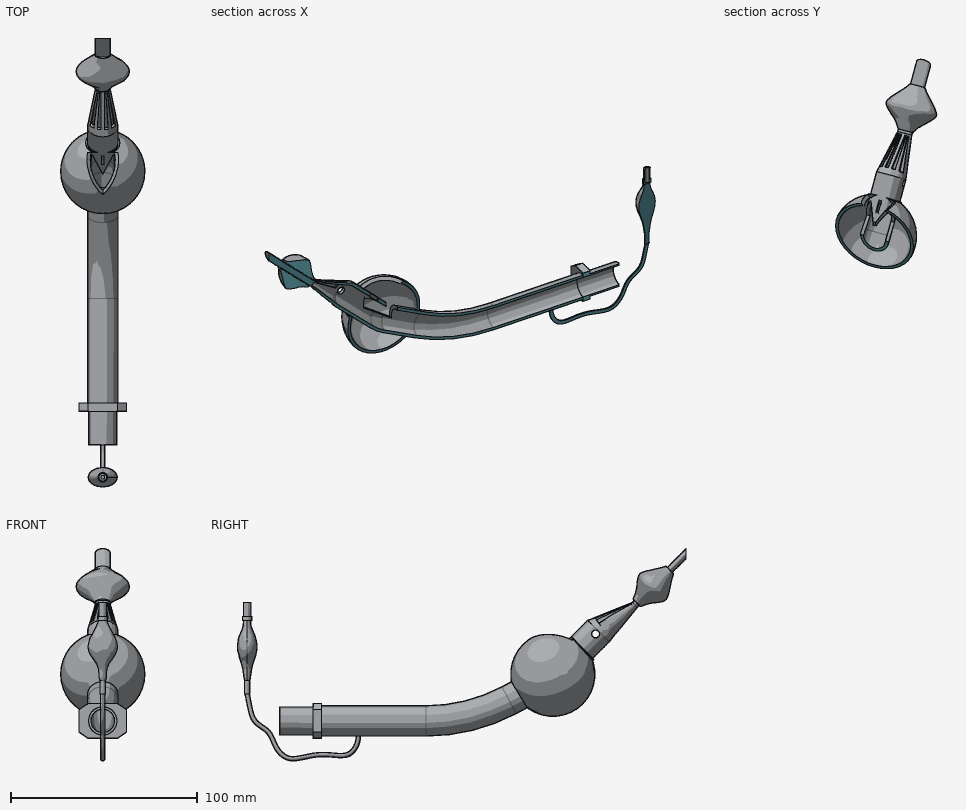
import cadquery as cq
import math


CONNECTOR_DIAMETER = 15.2
CONNECTOR_BORE = 12.5
FLANGE_FRONT = 18.0
FLANGE_BACK = 22.5
FLANGE_WIDTH = 25.5
FLANGE_HEIGHT = 18.8
FLANGE_CORNER_X = 4.8
FLANGE_CORNER_Z = 3.4

TUBE_DIAMETER = 16.4
TUBE_BORE = CONNECTOR_BORE
BEND_START = 78.5
BEND_RADIUS = 95.0
BEND_ANGLE = 28
DISTAL_ANGLE = 45
CUFF_BEND_RADIUS = 24.0
KINK_Y = 146.3
SIDE_HOLE_DIAMETER = 4.0
SIDE_HOLE_DISTANCE = 32.7

TAPER_START = 35.0
TAPER_END = 58.7
TIP_WIDTH = 8.2
TIP_THICKNESS = 3.9
TIP_DROP = 3.9
TIP_WALL = 1.0
TIP_END_Y = 218.0

WINDOWS_PER_SIDE = 2
WINDOW_START_GAP = 2.6
WINDOW_END_GAP = 1.0
MIDDLE_RIB = 2.0
START_WINDOW_WIDTH = 2.0
START_SIDE_RIB = 2.0
END_WINDOW_WIDTH = 0.7
END_SIDE_RIB = 0.7

CUFF_RADIUS = 22.5
CUFF_WALL = 2.0
CUFF_Y = 146.5
CUFF_Z = 25.0
NECK_DIAMETER = 18.3
NECK_END = 22.4

NOTCH_APEX_Y = 134.8
NOTCH_APEX_Z = 43.8
NOTCH_END_Y = 157.0
NOTCH_SLOPE = 18
NOTCH_HALF_ANGLE = 50

ROOF_START_Y = 138.1
ROOF_END_Y = 155.5
TONGUE_POINT_Y = 145.0
TONGUE_WIDTH = 11.0
TONGUE_SLOT_WIDTH = 1.5
TONGUE_SLOT_START_Y = 150.5
TONGUE_SLOT_END_Y = 155.0

DISTAL_CUFF_OUTLINE = [
    (60.2, 4.2),
    (63.0, 6.0),
    (68.3, 11.5),
    (72.5, 14.32),
    (75.8, 12.5),
    (79.2, 9.5),
    (82.8, 6.0),
    (85.2, 4.2),
]
DISTAL_CUFF_FLATNESS = 0.69

LINE_DIAMETER = 2.5
LINE_POINTS = [
    (42.0, -7.2),
    (41.1, -13.2),
    (37.5, -17.5),
    (28.5, -18.3),
    (19.3, -18.3),
    (10.3, -20.0),
    (4.8, -20.0),
    (-1.5, -14.7),
    (-6.0, -6.0),
    (-13.2, 0.0),
    (-15.6, 6.3),
    (-17.3, 14.5),
]
BALLOON_Y = LINE_POINTS[-1][0]
BALLOON_BOTTOM = LINE_POINTS[-1][1]
STEM_DIAMETER = 3.0
STEM_TOP = 21.7
BALLOON_TOP = 54.0
BALLOON_SECTIONS = [
    (1.5, 1.5),
    (2.2, 2.29),
    (4.5, 3.73),
    (7.58, 5.17),
    (7.2, 4.93),
    (4.5, 3.0),
    (2.05, 2.05),
]

VALVE_DIAMETER = 4.0
VALVE_RING_DIAMETER = 5.0
VALVE_BORE = 2.0
VALVE_BOTTOM = BALLOON_TOP
VALVE_RING_TOP = 56.0
VALVE_TOP = 63.5


def unit(angle):
    """Direction in the YZ plane, rising from +Y by an angle in degrees."""
    return math.cos(math.radians(angle)), math.sin(math.radians(angle))


BEND_END = (
    BEND_START + BEND_RADIUS * unit(BEND_ANGLE)[1],
    BEND_RADIUS * (1 - unit(BEND_ANGLE)[0]),
)
KINK_Z = BEND_END[1] + (KINK_Y - BEND_END[0]) * math.tan(math.radians(BEND_ANGLE))


def from_kink(distance, angle, rise=0):
    """Point in the YZ plane at a distance from the kink, raised square to that direction."""
    y, z = unit(angle)
    return KINK_Y + distance * y - rise * z, KINK_Z + distance * z + rise * y


def plane_along(point, angle):
    """Plane square to a direction in the YZ plane; its local y points up from that direction."""
    y, z = unit(angle)
    return cq.Plane(origin=(0, *point), xDir=(-1, 0, 0), normal=(0, y, z))


def distal_plane(distance, rise=0):
    return plane_along(from_kink(distance, DISTAL_ANGLE, rise), DISTAL_ANGLE)


def evenly_spaced(start, end, count):
    return [start + (end - start) * index / (count - 1) for index in range(count)]


def elliptical_loft(planes, half_sizes):
    """Smooth solid through one ellipse on each plane."""
    wires = [
        cq.Wire.makeEllipse(half_x, half_y, plane.origin, plane.zDir, plane.xDir)
        for plane, (half_x, half_y) in zip(planes, half_sizes)
    ]
    return cq.Workplane(obj=cq.Solid.makeLoft(wires))


def make_connector():
    barrel = cq.Workplane("XZ").circle(CONNECTOR_DIAMETER / 2).extrude(-FLANGE_BACK)
    half_width = FLANGE_WIDTH / 2
    half_height = FLANGE_HEIGHT / 2
    corner = [
        (half_width, half_height - FLANGE_CORNER_Z),
        (half_width - FLANGE_CORNER_X, half_height),
    ]
    upper = corner + [(-x, z) for x, z in reversed(corner)]
    lower = [(-x, -z) for x, z in upper]
    flange = (
        cq.Workplane("XZ", origin=(0, FLANGE_FRONT, 0))
        .polyline(upper + lower)
        .close()
        .extrude(FLANGE_FRONT - FLANGE_BACK)
    )
    bore = cq.Workplane("XZ").circle(CONNECTOR_BORE / 2).extrude(-FLANGE_BACK)
    return barrel.union(flange).cut(bore)


def tube_path():
    """Tube axis from the flange to the start of the taper."""
    tangent = CUFF_BEND_RADIUS * math.tan(math.radians((DISTAL_ANGLE - BEND_ANGLE) / 2))
    mid_bend = unit(BEND_ANGLE / 2)
    bend_middle = (BEND_START + BEND_RADIUS * mid_bend[1], BEND_RADIUS * (1 - mid_bend[0]))
    second_start = from_kink(-tangent, BEND_ANGLE)
    second_end = from_kink(tangent, DISTAL_ANGLE)
    start_y, start_z = unit(BEND_ANGLE)
    middle_y, middle_z = unit((BEND_ANGLE + DISTAL_ANGLE) / 2)
    second_middle = (
        second_start[0] + CUFF_BEND_RADIUS * (middle_z - start_z),
        second_start[1] + CUFF_BEND_RADIUS * (start_y - middle_y),
    )
    return (
        cq.Workplane("YZ")
        .moveTo(FLANGE_BACK, 0)
        .lineTo(BEND_START, 0)
        .threePointArc(bend_middle, BEND_END)
        .lineTo(*second_start)
        .threePointArc(second_middle, second_end)
        .lineTo(*from_kink(TAPER_START, DISTAL_ANGLE))
    )


def tube_sweep(diameter):
    section = cq.Workplane("XZ", origin=(0, FLANGE_BACK, 0)).circle(diameter / 2)
    return section.sweep(tube_path())


def taper(start_diameter, end_width, end_thickness):
    """Loft from the round distal shaft to the elliptical tip."""
    start = cq.Sketch().circle(start_diameter / 2)
    end = cq.Sketch().ellipse(end_width / 2, end_thickness / 2)
    start = start.moved(distal_plane(TAPER_START).location)
    end = end.moved(distal_plane(TAPER_END, -TIP_DROP).location)
    return cq.Workplane().placeSketch(start, end).loft(ruled=True)


def make_tip():
    """Elliptical bar along the tip axis, cut off by an upright plane."""
    longest = 2 * (TIP_END_Y - KINK_Y)
    start = cq.Workplane(distal_plane(TAPER_END, -TIP_DROP))
    bar = start.ellipse(TIP_WIDTH / 2, TIP_THICKNESS / 2).extrude(longest)
    beyond = cq.Workplane("XZ", origin=(0, TIP_END_Y, 0)).rect(longest, 4 * longest).extrude(-longest)
    return bar.cut(beyond)


def make_windows():
    """Tapered windows through the roof of the taper, side by side across it."""
    length = TAPER_END - TAPER_START
    slant = DISTAL_ANGLE - math.degrees(math.atan2(TIP_DROP, length))
    y, z = unit(slant)
    origin = (0, *from_kink(TAPER_START, DISTAL_ANGLE))
    roof = cq.Plane(origin=origin, xDir=(0, y, z), normal=(0, -z, y))
    near = WINDOW_START_GAP
    far = length - WINDOW_END_GAP

    windows = cq.Workplane(roof)
    for index in range(WINDOWS_PER_SIDE):
        near_inner = MIDDLE_RIB / 2 + index * (START_WINDOW_WIDTH + START_SIDE_RIB)
        far_inner = MIDDLE_RIB / 2 + index * (END_WINDOW_WIDTH + END_SIDE_RIB)
        for side in (-1, 1):
            outline = [
                (near, side * near_inner),
                (near, side * (near_inner + START_WINDOW_WIDTH)),
                (far, side * (far_inner + END_WINDOW_WIDTH)),
                (far, side * far_inner),
            ]
            windows = windows.polyline(outline).close()
    return windows.extrude(TUBE_DIAMETER)


def cuff_notch():
    """V-shaped prism, open upwards, from outside the cuff to an upright end face."""
    length = NOTCH_END_Y - NOTCH_APEX_Y
    height = CUFF_RADIUS
    half_width = height * math.tan(math.radians(NOTCH_HALF_ANGLE))
    slope = math.tan(math.radians(NOTCH_SLOPE))
    end_z = NOTCH_APEX_Z - length * slope
    plane = cq.Plane(origin=(0, NOTCH_END_Y, end_z), xDir=(1, 0, 0), normal=(0, -1, 0))
    prism = (
        cq.Workplane(plane)
        .polyline([(0, 0), (half_width, height), (-half_width, height)])
        .close()
    )
    run = 2 * CUFF_RADIUS
    return prism.sweep(
        cq.Workplane("YZ").moveTo(NOTCH_END_Y, end_z).lineTo(NOTCH_END_Y - run, end_z + run * slope)
    )


def roof_opening():
    """Upright cutter for the upper half of the tube, leaving the tongue with its slot."""
    outline = [
        (TONGUE_WIDTH / 2, ROOF_END_Y),
        (TUBE_DIAMETER, ROOF_END_Y),
        (TUBE_DIAMETER, ROOF_START_Y),
        (-TUBE_DIAMETER, ROOF_START_Y),
        (-TUBE_DIAMETER, ROOF_END_Y),
        (-TONGUE_WIDTH / 2, ROOF_END_Y),
        (0, TONGUE_POINT_Y),
    ]
    height = KINK_Z + 2 * TUBE_DIAMETER
    opening = cq.Workplane("XY").polyline(outline).close().extrude(height)
    slot = (
        cq.Workplane("XY", origin=(0, (TONGUE_SLOT_START_Y + TONGUE_SLOT_END_Y) / 2, 0))
        .rect(TONGUE_SLOT_WIDTH, TONGUE_SLOT_END_Y - TONGUE_SLOT_START_Y)
        .extrude(height)
    )
    y, z = unit((BEND_ANGLE + DISTAL_ANGLE) / 2)
    middle = cq.Plane(origin=(0, KINK_Y, KINK_Z), xDir=(0, y, z), normal=(0, -z, y))
    upper_half = cq.Workplane(middle).rect(4 * TUBE_DIAMETER, 4 * TUBE_DIAMETER).extrude(height)
    return opening.union(slot).intersect(upper_half)


def tube_outside():
    shaft = tube_sweep(TUBE_DIAMETER)
    nose = taper(TUBE_DIAMETER, TIP_WIDTH, TIP_THICKNESS)
    return shaft.union(nose).union(make_tip())


def make_tube():
    bore_nose = taper(TUBE_BORE, TIP_WIDTH - 2 * TIP_WALL, TIP_THICKNESS - 2 * TIP_WALL)
    side_hole = (
        cq.Workplane("YZ")
        .center(*from_kink(SIDE_HOLE_DISTANCE, DISTAL_ANGLE))
        .circle(SIDE_HOLE_DIAMETER / 2)
        .extrude(TUBE_DIAMETER, both=True)
    )
    return (
        tube_outside()
        .cut(tube_sweep(TUBE_BORE))
        .cut(bore_nose)
        .cut(make_windows())
        .cut(side_hole)
        .cut(roof_opening())
    )


def make_main_cuff():
    centre = (0, CUFF_Y, CUFF_Z)
    ball = cq.Workplane("YZ", origin=centre).sphere(CUFF_RADIUS)
    hollow = cq.Workplane("YZ", origin=centre).sphere(CUFF_RADIUS - CUFF_WALL)
    neck = cq.Workplane(distal_plane(0)).circle(NECK_DIAMETER / 2).extrude(NECK_END)
    return ball.union(neck).cut(hollow).cut(tube_sweep(TUBE_DIAMETER)).cut(cuff_notch())


def make_distal_cuff():
    """Spindle about the tip axis, flattened across the tip."""
    points = [(half_width, distance) for distance, half_width in DISTAL_CUFF_OUTLINE]
    spindle = (
        cq.Workplane("XZ")
        .moveTo(0, points[0][1])
        .lineTo(*points[0])
        .spline(points[1:], includeCurrent=True)
        .lineTo(0, points[-1][1])
        .close()
        .revolve(360, (0, 0, 0), (0, 1, 0))
    )
    flatten = cq.Matrix([[1, 0, 0, 0], [0, DISTAL_CUFF_FLATNESS, 0, 0], [0, 0, 1, 0]])
    flat_spindle = spindle.val().transformGeometry(flatten)
    placed = flat_spindle.moved(distal_plane(0, -TIP_DROP).location)
    return cq.Workplane(obj=placed).cut(make_tip())


def make_line():
    path = cq.Workplane("YZ").spline(LINE_POINTS)
    start_y, start_z = LINE_POINTS[0]
    section = cq.Workplane("XY", origin=(0, start_y, start_z)).circle(LINE_DIAMETER / 2)
    return section.sweep(path).cut(tube_outside()).cut(make_balloon())


def make_balloon():
    heights = evenly_spaced(STEM_TOP, BALLOON_TOP, len(BALLOON_SECTIONS))
    planes = [cq.Plane(origin=(0, BALLOON_Y, height)) for height in heights]
    stem = (
        cq.Workplane("XY", origin=(0, BALLOON_Y, BALLOON_BOTTOM))
        .circle(STEM_DIAMETER / 2)
        .extrude(STEM_TOP - BALLOON_BOTTOM)
    )
    return elliptical_loft(planes, BALLOON_SECTIONS).union(stem)


def make_valve():
    base = cq.Workplane("XY", origin=(0, BALLOON_Y, VALVE_BOTTOM))
    ring = base.circle(VALVE_RING_DIAMETER / 2).extrude(VALVE_RING_TOP - VALVE_BOTTOM)
    stem = base.circle(VALVE_DIAMETER / 2).extrude(VALVE_TOP - VALVE_BOTTOM)
    bore = base.circle(VALVE_BORE / 2).extrude(VALVE_TOP - VALVE_BOTTOM)
    return ring.union(stem).cut(bore)


connector = make_connector()
tube = make_tube()
main_cuff = make_main_cuff()
distal_cuff = make_distal_cuff()
inflation_line = make_line()
pilot_balloon = make_balloon()
valve = make_valve()

bodies = [connector, tube, main_cuff, distal_cuff, inflation_line, pilot_balloon, valve]
result = cq.Compound.makeCompound([body.val() for body in bodies])